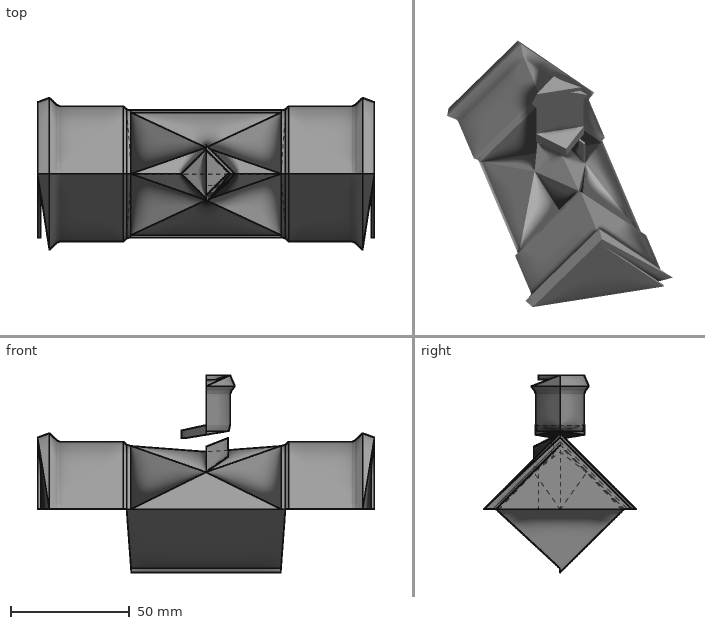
import cadquery as cq


half_length = 71.0
branch_top = 56.5

trough_depth = 26.7
trough_half_width = 27.0
trough_half_length = 33.5
trough_bottom_half_length = 31.5
keel_height = 1.8
keel_offset = 0.1
crown_half_length = 31.7
crown_half_width = 25.8
crown_height = 26.7
saddle_height = 24.3
bulge_half_width = 11.1
bulge_height = 15.6

fin_thickness = 0.9
fin_reach = 9.4
fin_side = 3.7
fin_bottom = 12.8
fin_root_height = 26.4
fin_tip_height = 30.1

end_profile = [(0, 30.2), (5.0, 32.1), (8.1, 29.1), (9.4, 28.5), (36.2, 28.5), (37.5, 27.3), (39.3, 26.7)]
end_lip_radius = 27.0
end_lip_thickness = 1.4

branch_profile = [(0, 10.2), (4.7, 12.2), (6.5, 10.8), (8.0, 10.2), (21.0, 10.2), (23.6, 9.7)]
branch_lip_radius = 9.1
branch_lip_thickness = 1.8

flange_radius = 10.4
flange_edge_top = 33.2
flange_edge_bottom = 30.0
flange_edge_width = 2.0


def polygon(points):
    return cq.Wire.makePolygon([cq.Vector(*point) for point in points], close=True)


def polyhedron(faces):
    shell = cq.Shell.makeShell([cq.Face.makeFromWires(polygon(points)) for points in faces])
    return cq.Workplane(cq.Solid.makeSolid(shell).fix())


def half_square(x, radius):
    """Upper half of a square standing on its corner, across the X axis."""
    return polygon([(x, -radius, 0), (x, 0, radius), (x, radius, 0)])


def make_socket(profile, lip_radius, lip_thickness):
    """Socket with its mouth at X = 0, opening towards -X and cut back on the -Y side."""
    sections = [half_square(x, radius) for x, radius in profile]
    socket = cq.Workplane(cq.Solid.makeLoft(sections, True))

    bead_x, bead_radius = profile[1]
    cut = (
        cq.Workplane("XY")
        .polyline([(0, 0), (bead_x, -bead_radius), (0, -bead_radius)])
        .close()
        .extrude(bead_radius)
    )

    lip = cq.Workplane(cq.Solid.makeLoft([half_square(x, lip_radius) for x in (0, lip_thickness)], True))
    return socket.cut(cut).union(lip)


def make_trough():
    """V-shaped trough with slanted ends and a narrow keel along its bottom."""
    side = (
        cq.Workplane("XZ")
        .polyline(
            [
                (-trough_half_length, 0),
                (trough_half_length, 0),
                (trough_bottom_half_length, -trough_depth),
                (-trough_bottom_half_length, -trough_depth),
            ]
        )
        .close()
        .extrude(trough_half_width, both=True)
    )
    section = (
        cq.Workplane("YZ")
        .polyline(
            [
                (-trough_half_width, 0),
                (-keel_offset, -trough_depth + keel_height),
                (0, -trough_depth),
                (trough_half_width, 0),
            ]
        )
        .close()
        .extrude(trough_half_length, both=True)
    )
    return side.intersect(section)


def make_crown():
    """Crown with a dipped ridge along X, a bulge on each side and a recess in each corner."""
    saddle = (0, 0, saddle_height)
    left_ridge = (-crown_half_length, 0, crown_height)
    right_ridge = (crown_half_length, 0, crown_height)
    left_foot = (-crown_half_length, 0, 0)
    right_foot = (crown_half_length, 0, 0)
    faces = []
    base = []
    for side in (-1, 1):
        left_corner = (-crown_half_length, side * crown_half_width, 0)
        right_corner = (crown_half_length, side * crown_half_width, 0)
        bulge = (0, side * bulge_half_width, bulge_height)
        faces.append([left_corner, right_corner, bulge])
        for corner, foot, ridge in (
            (left_corner, left_foot, left_ridge),
            (right_corner, right_foot, right_ridge),
        ):
            faces.append([corner, foot, bulge])
            faces.append([foot, ridge, bulge])
            faces.append([ridge, saddle, bulge])
        base.append([left_corner, left_foot, right_foot, right_corner])
    return polyhedron(faces + base)


def make_fin():
    """Thin fin rising from the front bulge towards the right."""
    root = (0, -bulge_half_width)
    tip = (fin_reach, -fin_side)
    plan = (
        cq.Workplane("XY")
        .polyline([root, tip, (tip[0], tip[1] + fin_thickness), (root[0], root[1] + fin_thickness)])
        .close()
        .extrude(fin_tip_height)
    )
    side = (
        cq.Workplane("XZ")
        .polyline(
            [
                (0, fin_bottom),
                (0, fin_root_height),
                (fin_reach, fin_tip_height),
                (fin_reach, fin_bottom),
            ]
        )
        .close()
        .extrude(bulge_half_width)
    )
    return plan.intersect(side)


def make_body():
    return make_trough().union(make_crown()).union(make_fin())


def make_end_socket():
    """End socket at the -X end."""
    socket = make_socket(end_profile, end_lip_radius, end_lip_thickness)
    return socket.translate((-half_length, 0, 0))


def make_flange():
    """Square flange under the branch, sloping down towards -X."""
    branch_bottom = branch_top - branch_profile[-1][0]
    column = (
        cq.Workplane("XY")
        .polyline([(-flange_radius, 0), (0, -flange_radius), (flange_radius, 0), (0, flange_radius)])
        .close()
        .extrude(branch_top)
    )
    side = (
        cq.Workplane("XZ")
        .polyline(
            [
                (-flange_radius, flange_edge_bottom),
                (-flange_radius, flange_edge_top),
                (0, branch_top - branch_profile[-2][0]),
                (0, branch_bottom),
                (branch_profile[-1][1], branch_bottom),
                (-flange_radius + flange_edge_width, flange_edge_bottom),
            ]
        )
        .close()
        .extrude(flange_radius, both=True)
    )
    return column.intersect(side)


def make_branch():
    socket = make_socket(branch_profile, branch_lip_radius, branch_lip_thickness)
    upright = socket.rotate((0, 0, 0), (0, 1, 0), 90).translate((0, 0, branch_top))
    return upright.union(make_flange())


body = make_body().solids()
left_socket = make_end_socket().solids()
end_sockets = [left_socket, left_socket.mirror("YZ").solids()]
branch = make_branch().solids()

result = cq.Compound.makeCompound([body.val(), *[socket.val() for socket in end_sockets], branch.val()])